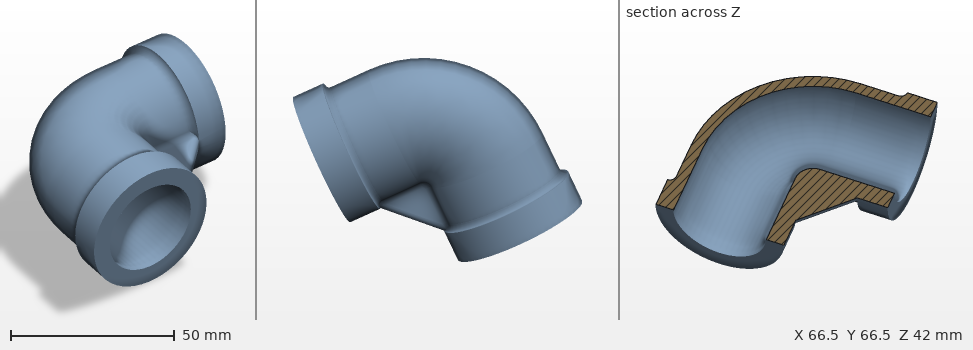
import cadquery as cq

overall = 66.5
collar_diameter = 42.0
collar_length = 10.0
tube_diameter = 37.95
bore_diameter = 30.25
rib_thickness = 6.0
fillet_radius = 2.0
rib_embed = 4.0

collar_radius = collar_diameter / 2
bend_radius = collar_radius
leg_length = overall - collar_diameter
collar_start = leg_length - collar_length
tube_radius = tube_diameter / 2


def elbow(diameter):
    """Solid round bar along +X leg, quarter bend and +Y leg."""
    path = (
        cq.Workplane("XY")
        .moveTo(leg_length, -bend_radius)
        .lineTo(0, -bend_radius)
        .radiusArc((-bend_radius, 0), bend_radius)
        .lineTo(-bend_radius, leg_length)
    )
    section = cq.Workplane("YZ", origin=(leg_length, -bend_radius, 0)).circle(diameter / 2)
    return section.sweep(path)


def corner_rib():
    """Triangular web in the inner corner, with its sloping edges rounded."""
    tip = collar_start + rib_embed
    web = (
        cq.Workplane("XY")
        .workplane(offset=-rib_thickness / 2)
        .polyline([(-rib_embed, -rib_embed), (tip, -rib_embed), (-rib_embed, tip)])
        .close()
        .extrude(rib_thickness)
    )
    return web.edges("(not |X) and (not |Y) and (not |Z)").fillet(fillet_radius)


def x_leg_collar():
    """End collar on the +X leg, with a concave fillet down to the tube."""
    return (
        cq.Workplane("XY")
        .moveTo(collar_start - fillet_radius, 0)
        .lineTo(collar_start - fillet_radius, tube_radius)
        .radiusArc((collar_start, tube_radius + fillet_radius), -fillet_radius)
        .lineTo(collar_start, collar_radius)
        .lineTo(leg_length, collar_radius)
        .lineTo(leg_length, 0)
        .close()
        .revolve(360, (0, 0, 0), (1, 0, 0))
        .translate((0, -bend_radius, 0))
    )


body = elbow(tube_diameter).union(corner_rib())
body = body.faces("|Z").edges("|X or |Y or %CIRCLE").fillet(fillet_radius)

collar = x_leg_collar()
y_leg_collar = collar.rotate((0, 0, 0), (0, 0, 1), 90).mirror("YZ")
body = body.union(collar).union(y_leg_collar)
result = body.cut(elbow(bore_diameter))